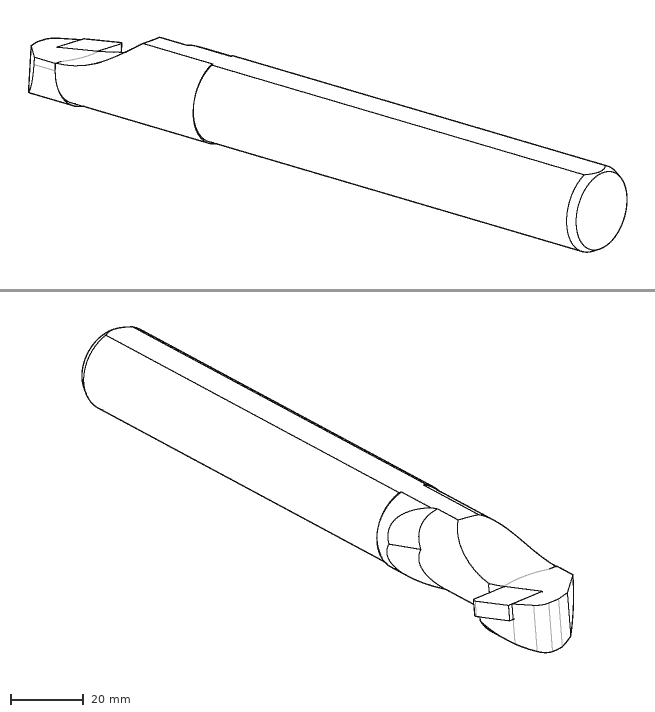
import cadquery as cq
import math

length = 200.0
far = 60.0
top_flat_z = 11.5

shank_start = 65.0
shank_diameter = 24.5
shank_radius = shank_diameter / 2
end_chamfer_length = 2.5
end_chamfer_depth = 1.2

neck_radius = 12.5
neck_center_z = -0.5
relief_radius = 16.0
relief_y = 7.5
runout_x = 38.5
runout_y_slope = 1.7
runout_z_slope = 0.6

head_length = 16.0
swing_radius = 14.2
side_y = -12.5
swing_center_y = side_y + swing_radius
nose_radius = 4.8
nose_corner = (0, 5.0)
nose_flat_start = (0, -0.8)
nose_bevel = (1.2, -4.8)
bevel_back = 8.5
flank_middle = (6.8, 10.2)
flank_back = (head_length, 14.8)
rake_angle = 5.0
rake_z = 1.1

flute_radius = 30.8
flute_start = 17.5
flute_bow = 26.0
flute_center_y = -1.0

insert_front = 6.8
insert_back = 16.5
insert_inner_y = -0.5
insert_side = 11.8
insert_tip_radius = 0.8
insert_angle = 30.0
insert_thickness = 4.8
insert_rise = (insert_back - insert_front) * math.tan(math.radians(insert_angle))


def rake_frame(solid):
    """Move a solid from flat coordinates (z = 0 at its top) onto the sloping rake face."""
    return solid.rotate((0, 0, 0), (1, 0, 0), -rake_angle).translate((0, 0, rake_z))


def along_x(y, z, radius, start, end):
    return cq.Workplane("YZ", origin=(start, y, z)).circle(radius).extrude(end - start)


def slab(x_range, z_range):
    """Block wide in Y, between two X and two Z limits."""
    size_x = x_range[1] - x_range[0]
    size_z = z_range[1] - z_range[0]
    return (
        cq.Workplane("XY", origin=(x_range[0], 0, z_range[0]))
        .box(size_x, 2 * far, size_z, centered=(False, True, False))
    )


def make_shank():
    chamfer_start = length - end_chamfer_length
    tip_radius = shank_radius - end_chamfer_depth
    blank = (
        cq.Workplane("XZ")
        .polyline([
            (shank_start, 0), (shank_start, shank_radius), (chamfer_start, shank_radius),
            (length, tip_radius), (length, 0),
        ])
        .close()
        .revolve(360, (0, 0, 0), (1, 0, 0))
    )
    return blank.intersect(slab((shank_start, length), (-far, top_flat_z)))


def make_relief():
    """Material removed from the +Y flank, ending in two mirrored runout planes."""
    outside = slab((0, shank_start), (-far, far)).cut(
        along_x(relief_y - relief_radius, 0, relief_radius, 0, shank_start)
    ).intersect(cq.Workplane("XY").box(2 * far + shank_start, far, far, centered=(True, False, True)))
    runout_plane = cq.Plane(
        origin=(runout_x, 0, 0), xDir=(runout_y_slope, 1, 0),
        normal=(1, -runout_y_slope, -runout_z_slope),
    )
    beyond_runout = cq.Workplane(runout_plane).rect(4 * far, 4 * far).extrude(4 * far)
    beyond_runout = beyond_runout.intersect(beyond_runout.mirror("XY"))
    return outside.cut(beyond_runout)


def make_flute():
    """Space above the rake face, with a rounded rise swept about an upright axis."""
    rise_middle = flute_radius * math.sqrt(0.5)
    space = (
        cq.Workplane("XZ")
        .lineTo(flute_bow, 0)
        .threePointArc(
            (flute_bow + rise_middle, flute_radius - rise_middle),
            (flute_bow + flute_radius, flute_radius),
        )
        .lineTo(0, flute_radius)
        .close()
        .revolve(360, (0, 0, 0), (0, 1, 0))
        .translate((flute_start - flute_bow, flute_center_y, 0))
    )
    return rake_frame(space)


def make_neck():
    blank = along_x(0, neck_center_z, neck_radius, head_length, shank_start)
    blank = blank.intersect(slab((head_length, shank_start), (-far, top_flat_z)))
    corner_y = insert_inner_y + insert_rise
    corner = (
        cq.Workplane("XY", origin=(0, 0, -far))
        .polyline([
            (insert_front, insert_inner_y), (insert_back, corner_y),
            (insert_back + insert_rise, corner_y + insert_rise * math.tan(math.radians(insert_angle))),
            (insert_front, far),
        ])
        .close()
        .extrude(2 * far)
    )
    return blank.cut(make_relief()).cut(make_flute()).cut(corner)


def make_head():
    outline = (
        cq.Workplane("XY", origin=(0, 0, -far))
        .polyline([
            nose_flat_start, nose_corner, flank_middle, flank_back,
            (head_length, -far), (bevel_back, side_y), nose_bevel,
        ])
        .close()
        .extrude(far)
        .edges(cq.NearestToPointSelector((*nose_corner, -far / 2)))
        .fillet(nose_radius)
    )
    section = along_x(swing_center_y, 0, swing_radius, 0, head_length)
    upright_side = (
        cq.Workplane("XY", origin=(0, side_y, 0))
        .box(head_length, swing_radius, swing_radius, centered=False)
    )
    return rake_frame(outline).intersect(section.union(upright_side))


def make_insert():
    """Rhomboid plate whose top lies in the rake face."""
    plate = (
        cq.Workplane("XY")
        .polyline([
            (insert_front, insert_inner_y),
            (insert_back, insert_inner_y + insert_rise),
            (insert_back, insert_inner_y + insert_rise + insert_side),
            (insert_front, insert_inner_y + insert_side),
        ])
        .close()
        .extrude(-insert_thickness)
        .edges("|Z and >Y")
        .fillet(insert_tip_radius)
    )
    return rake_frame(plate)


insert = make_insert()
holder = make_shank().union(make_neck()).union(make_head()).cut(insert)

result = cq.Compound.makeCompound([holder.val(), insert.val()])